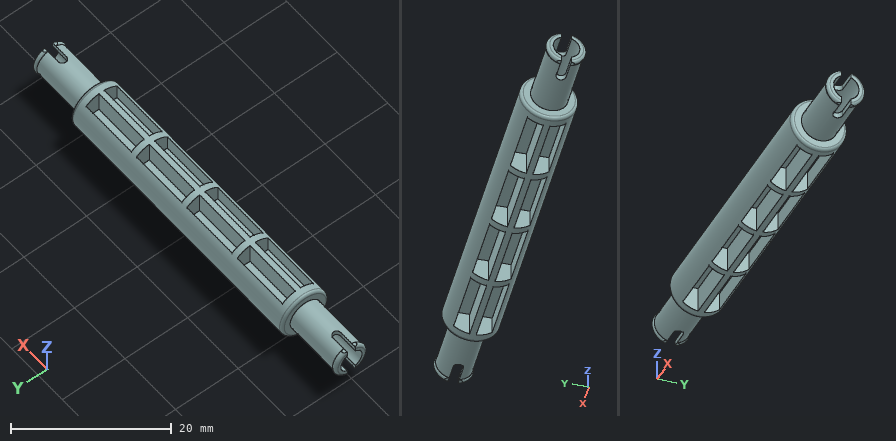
import cadquery as cq
import math

total_length = 60.05
body_length = 41.75
body_diameter = 7.5
body_edge_radius = 0.4

journal_diameter = 4.8
bore_diameter = 3.35
bead_diameter = 5.15
bead_radius = 0.4
slot_width = 1.25
slot_length = 3.5

pockets_per_row = 4
pocket_length = 8.95
pocket_gap = 1.0
pocket_width = 2.05
web_thickness = 0.85

body_radius = body_diameter / 2
journal_radius = journal_diameter / 2
bead_center_radius = bead_diameter / 2 - bead_radius
bead_length = bead_radius + math.sqrt(bead_radius**2 - (journal_radius - bead_center_radius) ** 2)
bead_flat_height = math.sqrt(journal_radius**2 - (slot_width / 2) ** 2)


def make_body():
    """Solid cylinder with rounded end edges."""
    cylinder = cq.Workplane("YZ").circle(body_radius).extrude(body_length)
    cylinder = cylinder.translate((-body_length / 2, 0, 0))
    return cylinder.edges("%CIRCLE").fillet(body_edge_radius)


def make_pockets():
    """Rectangular pockets that leave a cross-shaped core along the axis."""
    pitch_x = pocket_length + pocket_gap
    pitch_y = pocket_width + web_thickness
    pockets = (
        cq.Workplane("XY")
        .workplane(offset=web_thickness / 2)
        .rarray(pitch_x, pitch_y, pockets_per_row, 2)
        .rect(pocket_length, pocket_width)
        .extrude(body_radius)
    )
    return pockets.union(pockets.mirror("XY"))


def make_left_journal():
    """Left journal: beaded tube, flattened at the bead and split by a slot."""
    tip = -total_length / 2
    shoulder = -body_length / 2
    profile = (
        cq.Workplane("XY")
        .moveTo(tip, bore_diameter / 2)
        .lineTo(tip, bead_center_radius)
        .threePointArc(
            (tip + bead_radius, bead_diameter / 2),
            (tip + bead_length, journal_radius),
        )
        .lineTo(shoulder, journal_radius)
        .lineTo(shoulder, bore_diameter / 2)
        .close()
    )
    tube = profile.revolve(360, (0, 0, 0), (1, 0, 0))

    bead_flat = (
        cq.Workplane("XY")
        .workplane(offset=bead_flat_height)
        .center(tip + bead_length / 2, 0)
        .rect(bead_length, bead_diameter)
        .extrude(bead_diameter)
    )

    slot = (
        cq.Workplane("XY")
        .center(tip, 0)
        .slot2D(2 * slot_length, slot_width)
        .extrude(bead_diameter, both=True)
    )
    return tube.cut(bead_flat).cut(bead_flat.mirror("XY")).cut(slot)


left_journal = make_left_journal()
result = make_body().cut(make_pockets()).union(left_journal).union(left_journal.mirror("YZ"))